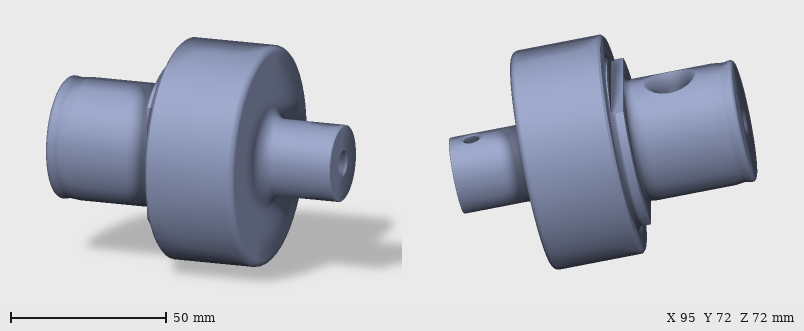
import cadquery as cq
import math

total_length = 95.0
bore_radius = 4.25
bore_chamfer = 0.4

shank_radius = 20.0
nose_round = 1.25
groove_radius = 19.6
groove_start = 3.35
groove_land = 0.25
groove_end = 7.05

flange_face = 35.5
shank_relief_start = 33.5
shank_relief_radius = 19.8
shank_relief_round = 1.0

flange_radius = 28.0
flats_width = 42.1
neck_start = 38.15
neck_radius = 27.4
neck_taper_end = 39.05
neck_round = 1.1

drum_radius = 36.0
drum_face = 40.0
drum_back = 70.0
drum_edge_length = 0.75
drum_edge_height = 0.75
drum_back_round = 2.1
seat_depth = 0.65
seat_chamfer_height = 1.1
spigot_radius = 12.5
spigot_root_round = 4.0
spigot_end_chamfer = 0.25

shank_seat_x = 20.6
shank_seat_mouth_radius = 8.5
spigot_hole_x = 87.6
spigot_hole_radius = 2.5
spigot_countersink_radius = 3.25

joint_x = drum_face + seat_depth
joint_radius = neck_radius + neck_round

neck_round_x = joint_x - neck_round

quarter_arc = math.sin(math.radians(45))


def revolve_about_x(profile):
    """Close a half profile drawn in XY and turn it round the X axis."""
    return profile.close().revolve(360, (0, 0, 0), (1, 0, 0))


def arc_middle(center_x, center_radius, arc_radius, side_x, side_radius):
    """Middle of a quarter arc, on the diagonal given by the two signs."""
    offset = arc_radius * quarter_arc
    return (center_x + side_x * offset, center_radius + side_radius * offset)


def radial_cone(x, mouth_radius, surface_radius):
    """Pointed 90 degree cone with its mouth at the given radius, carried on past the surface."""
    overrun = 1.0
    tip = cq.Vector(x, surface_radius - mouth_radius, 0)
    height = mouth_radius + overrun
    return cq.Workplane(obj=cq.Solid.makeCone(0, height, height, tip, cq.Vector(0, 1, 0)))


def radial_hole(x, hole_radius, surface_radius):
    """Cylinder along +Y from the axis out to the surface."""
    base = cq.Vector(x, 0, 0)
    return cq.Workplane(obj=cq.Solid.makeCylinder(hole_radius, surface_radius, base, cq.Vector(0, 1, 0)))


def flat_cutter(side):
    """Block that trims the flange to a flat on the +Y or -Y side."""
    height = 2 * drum_radius
    depth = drum_radius
    return cq.Workplane("XY").box(
        neck_round_x - flange_face, depth, height, centered=(False, True, True)
    ).translate((flange_face, side * (flats_width + depth) / 2, 0))


def make_adapter():
    shank_round_x = flange_face - shank_relief_round
    shank_round_top = shank_relief_radius + shank_relief_round
    profile = (
        cq.Workplane("XY")
        .moveTo(0, bore_radius + bore_chamfer)
        .lineTo(0, shank_radius - nose_round)
        .threePointArc(
            arc_middle(nose_round, shank_radius - nose_round, nose_round, -1, 1),
            (nose_round, shank_radius),
        )
        .lineTo(groove_start, groove_radius)
        .lineTo(groove_start + groove_land, groove_radius)
        .lineTo(groove_end, shank_radius)
        .lineTo(shank_relief_start, shank_radius)
        .lineTo(shank_round_x, shank_relief_radius)
        .threePointArc(
            arc_middle(shank_round_x, shank_round_top, shank_relief_round, 1, -1),
            (flange_face, shank_round_top),
        )
        .lineTo(flange_face, flange_radius)
        .lineTo(neck_start, flange_radius)
        .lineTo(neck_taper_end, neck_radius)
        .lineTo(neck_round_x, neck_radius)
        .threePointArc(
            arc_middle(neck_round_x, joint_radius, neck_round, 1, -1),
            (joint_x, joint_radius),
        )
        .lineTo(joint_x, bore_radius)
        .lineTo(bore_chamfer, bore_radius)
    )
    body = revolve_about_x(profile)
    for side in (-1, 1):
        body = body.cut(flat_cutter(side))
    return body.cut(radial_cone(shank_seat_x, shank_seat_mouth_radius, shank_radius))


def make_drum():
    seat_mouth_radius = joint_radius + seat_chamfer_height
    back_round_x = drum_back - drum_back_round
    back_round_base = drum_radius - drum_back_round
    root_x = drum_back + spigot_root_round
    root_radius = spigot_radius + spigot_root_round
    profile = (
        cq.Workplane("XY")
        .moveTo(joint_x, bore_radius)
        .lineTo(joint_x, joint_radius)
        .lineTo(drum_face, seat_mouth_radius)
        .lineTo(drum_face, drum_radius - drum_edge_height)
        .lineTo(drum_face + drum_edge_length, drum_radius)
        .lineTo(back_round_x, drum_radius)
        .threePointArc(
            arc_middle(back_round_x, back_round_base, drum_back_round, 1, 1),
            (drum_back, back_round_base),
        )
        .lineTo(drum_back, root_radius)
        .threePointArc(
            arc_middle(root_x, root_radius, spigot_root_round, -1, -1),
            (root_x, spigot_radius),
        )
        .lineTo(total_length - spigot_end_chamfer, spigot_radius)
        .lineTo(total_length, spigot_radius - spigot_end_chamfer)
        .lineTo(total_length, bore_radius)
    )
    body = revolve_about_x(profile)
    body = body.cut(radial_hole(spigot_hole_x, spigot_hole_radius, spigot_radius))
    return body.cut(radial_cone(spigot_hole_x, spigot_countersink_radius, spigot_radius))


adapter = make_adapter()
drum = make_drum()

result = cq.Compound.makeCompound([adapter.val(), drum.val()])